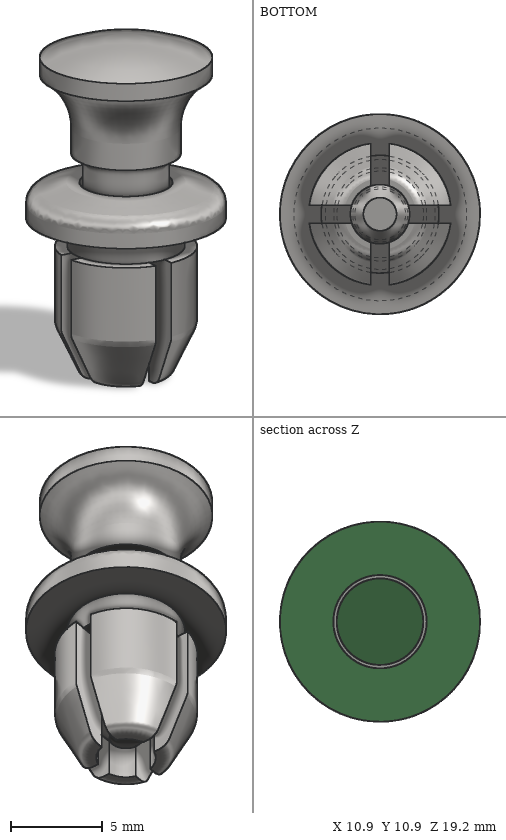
import cadquery as cq
import math

barb_corner_z = 3.0
barb_top_z = 7.4
flange_bottom_z = 9.0
flange_rim_z = 10.52
flange_top_z = 11.04
collar_bottom_z = 12.7
flare_bottom_z = 14.2
cap_bottom_z = 17.2
cap_top_z = 18.2
dome_top_z = 19.2

flange_radius = 5.45
flange_flat_radius = 3.25
flange_fillet = 0.85
neck_radius = 3.2
barb_radius = 3.88
leg_tip_radius = 2.44
leg_fillet = 0.79
slot_width = 1.0
counterbore_radius = 2.53

cap_radius = 4.7
collar_radius = 3.0
stem_radius = 2.36
rod_radius = 1.38
band_radius = 1.5
band_top_z = 4.6
band_bottom_z = 4.09
bulb_neck_radius = 1.38
bulb_radius = 1.61
bulb_z = 2.4
rod_tip_radius = 0.9
rod_tip_z = 1.44

bore_radius = bulb_radius


def revolve_about_z(profile):
    """Turn a closed radius-height profile, drawn in the XZ plane, about Z."""
    return profile.revolve(360, (0, 0, 0), (0, 1, 0))


def ring_edge(radius, height):
    """Selector for the circular edge with this radius and height."""
    tolerance = 0.02
    reach = radius + tolerance
    return cq.selectors.BoxSelector(
        (-reach, -reach, height - tolerance),
        (reach, reach, height + tolerance),
        boundingbox=True,
    )


def make_grommet():
    outline = cq.Workplane("XZ").polyline([
        (0, 0),
        (leg_tip_radius, 0),
        (barb_radius, barb_corner_z),
        (barb_radius, barb_top_z),
        (neck_radius, barb_top_z),
        (neck_radius, flange_bottom_z),
        (flange_radius, flange_bottom_z),
        (flange_radius, flange_rim_z),
        (flange_flat_radius, flange_top_z),
        (0, flange_top_z),
    ]).close()
    body = revolve_about_z(outline)

    body = body.edges(ring_edge(flange_radius, flange_rim_z)).fillet(flange_fillet)
    body = body.edges(ring_edge(barb_radius, barb_corner_z)).fillet(leg_fillet)
    body = body.edges(ring_edge(leg_tip_radius, 0)).fillet(leg_fillet)

    bore = cq.Workplane("XY").circle(bore_radius).extrude(flange_top_z)
    counterbore = (
        cq.Workplane("XY", origin=(0, 0, flange_bottom_z))
        .circle(counterbore_radius)
        .extrude(flange_top_z - flange_bottom_z)
    )
    body = body.cut(bore).cut(counterbore)

    for angle in (0, 90):
        slot = (
            cq.Workplane("XY")
            .rect(slot_width, 2 * flange_radius)
            .extrude(barb_top_z)
            .rotate((0, 0, 0), (0, 0, 1), angle)
        )
        body = body.cut(slot)
    return body


def make_plunger():
    flare_rise = cap_bottom_z - flare_bottom_z
    flare_spread = cap_radius - collar_radius
    flare_radius = (flare_rise**2 + flare_spread**2) / (2 * flare_spread)
    flare_half_angle = math.asin(flare_rise / flare_radius) / 2
    flare_middle = (
        collar_radius + flare_radius * (1 - math.cos(flare_half_angle)),
        flare_bottom_z + flare_radius * math.sin(flare_half_angle),
    )

    dome_rise = dome_top_z - cap_top_z
    dome_radius = (cap_radius**2 + dome_rise**2) / (2 * dome_rise)
    dome_half_angle = math.asin(cap_radius / dome_radius) / 2
    dome_middle = (
        dome_radius * math.sin(dome_half_angle),
        dome_top_z - dome_radius * (1 - math.cos(dome_half_angle)),
    )

    outline = (
        cq.Workplane("XZ")
        .moveTo(0, rod_tip_z)
        .lineTo(rod_tip_radius, rod_tip_z)
        .lineTo(bulb_radius, bulb_z)
        .lineTo(bulb_neck_radius, band_bottom_z)
        .lineTo(band_radius, band_bottom_z)
        .lineTo(band_radius, band_top_z)
        .lineTo(rod_radius, band_top_z)
        .lineTo(rod_radius, flange_bottom_z)
        .lineTo(stem_radius, flange_bottom_z)
        .lineTo(stem_radius, collar_bottom_z)
        .lineTo(collar_radius, collar_bottom_z)
        .lineTo(collar_radius, flare_bottom_z)
        .threePointArc(flare_middle, (cap_radius, cap_bottom_z))
        .lineTo(cap_radius, cap_top_z)
        .threePointArc(dome_middle, (0, dome_top_z))
        .close()
    )
    return revolve_about_z(outline)


grommet = make_grommet().solids()
plunger = make_plunger()
result = cq.Compound.makeCompound([grommet.val(), plunger.val()])